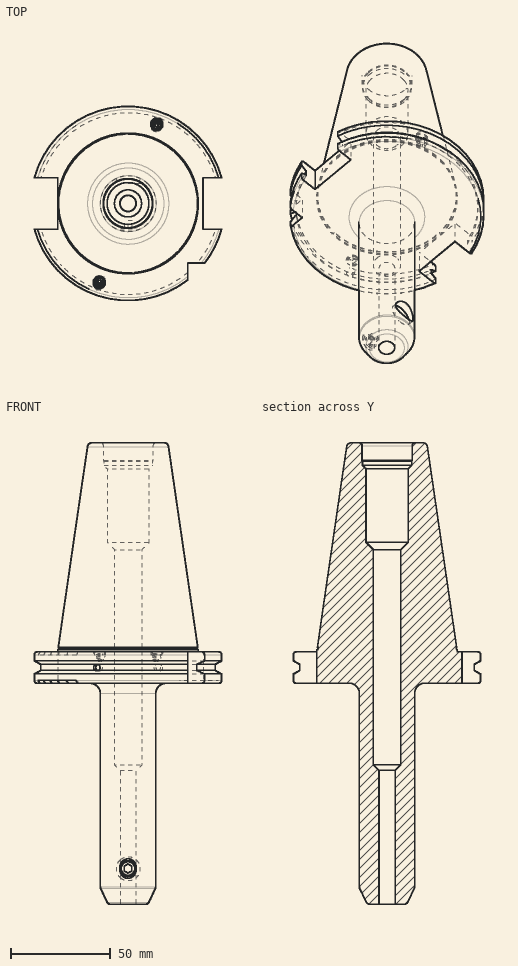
import cadquery as cq
import math


GAUGE_RADIUS = 69.85 / 2
TAPER_RATIO = 7 / 24
TAPER_LENGTH = 101.75
TAPER_OVERRUN = 0.9
TAPER_TOP_FILLET = 2.5
COLLAR_RADIUS = 35.3
RELIEF_GROOVE_DEPTH = 0.3
RELIEF_GROOVE_FLOOR = 0.5

FLANGE_RADIUS = 97.5 / 2
FLANGE_TOP_Z = -3.2
FLANGE_BOTTOM_Z = -19.1
FLANGE_EDGE_FILLET = 1.5
GROOVE_CENTER_Z = -11.1
GROOVE_DEPTH = 3.1
GROOVE_FLOOR_WIDTH = 3.0
GROOVE_HALF_ANGLE = 30.0

SLOT_WIDTH = 25.7
LEFT_SLOT_X = -35.3
RIGHT_SLOT_X = 37.7
NOTCH_X = 30.0
NOTCH_Y = -30.0

SHANK_RADIUS = 14.0
SHANK_ROOT_RADIUS = 5.0
SHANK_END_Z = -130.0
TIP_CONE_LENGTH = 8.5
TIP_CONE_ANGLE = 25.0
TIP_TOP_FILLET = 2.0
TIP_END_FILLET = 2.0

BORE_MOUTH_FILLET = 1.6
COUNTERBORE_RADIUS = 12.5
COUNTERBORE_DEPTH = 9.0
THREAD_ENTRY_RADIUS = 12.2
THREAD_ENTRY_DEPTH = 11.5
THREAD_BORE_RADIUS = 10.5
THREAD_BORE_DEPTH = 50.0
PASSAGE_RADIUS = 6.8
PASSAGE_END_Z = -60.0
TOOL_BORE_RADIUS = 4.0

CLAMP_Z = SHANK_END_Z + 18.0
CLAMP_OPENING_RADIUS = 4.9
CLAMP_THREAD_RADIUS = 4.0
CLAMP_FACE_RADIUS = 3.4
CLAMP_FACE_DEPTH = 1.5
CLAMP_SOCKET_WIDTH = 4.0
CLAMP_SOCKET_DEPTH = 4.0
RELIEF_RADIUS = 6.0
RELIEF_DEPTH = 4.0

COOLANT_CIRCLE_RADIUS = 42.0
COOLANT_ANGLES = (70.0, 250.0)
COOLANT_TILT = 25.0
COOLANT_OPENING_RADIUS = 3.1
COOLANT_THREAD_RADIUS = 2.7
COOLANT_FACE_RADIUS = 2.2
COOLANT_FACE_DEPTH = 1.8
COOLANT_SOCKET_WIDTH = 2.5
COOLANT_SOCKET_DEPTH = 3.0
GROOVE_HOLE_RADIUS = 1.7
GROOVE_HOLE_DEPTH = 3.0

CLEARANCE = 2.0


def taper_radius(z):
    return GAUGE_RADIUS - z * TAPER_RATIO / 2


def revolve_profile(profile):
    """Turn a closed profile drawn as (radius, Z) around the Z axis."""
    return profile.close().revolve(360, (0, 0, 0), (0, 1, 0))


def make_taper():
    taper_end_radius = taper_radius(-TAPER_OVERRUN)
    groove_radius = taper_end_radius - RELIEF_GROOVE_DEPTH
    groove_top_z = -TAPER_OVERRUN - RELIEF_GROOVE_DEPTH
    groove_bottom_z = groove_top_z - RELIEF_GROOVE_FLOOR
    collar_top_z = groove_bottom_z - (COLLAR_RADIUS - groove_radius)
    profile = (
        cq.Workplane("XZ")
        .moveTo(0, TAPER_LENGTH)
        .lineTo(taper_radius(TAPER_LENGTH), TAPER_LENGTH)
        .lineTo(taper_end_radius, -TAPER_OVERRUN)
        .lineTo(groove_radius, groove_top_z)
        .lineTo(groove_radius, groove_bottom_z)
        .lineTo(COLLAR_RADIUS, collar_top_z)
        .lineTo(COLLAR_RADIUS, FLANGE_TOP_Z)
        .lineTo(0, FLANGE_TOP_Z)
    )
    return revolve_profile(profile).faces(">Z").edges().fillet(TAPER_TOP_FILLET)


def make_flange():
    thickness = FLANGE_TOP_Z - FLANGE_BOTTOM_Z
    disc = (
        cq.Workplane("XY")
        .workplane(offset=FLANGE_BOTTOM_Z)
        .circle(FLANGE_RADIUS)
        .extrude(thickness)
        .edges()
        .fillet(FLANGE_EDGE_FILLET)
    )
    half_floor = GROOVE_FLOOR_WIDTH / 2
    half_mouth = half_floor + GROOVE_DEPTH * math.tan(math.radians(GROOVE_HALF_ANGLE))
    floor_radius = FLANGE_RADIUS - GROOVE_DEPTH
    outside = FLANGE_RADIUS + CLEARANCE
    groove = (
        cq.Workplane("XZ")
        .moveTo(outside, GROOVE_CENTER_Z + half_mouth)
        .lineTo(FLANGE_RADIUS, GROOVE_CENTER_Z + half_mouth)
        .lineTo(floor_radius, GROOVE_CENTER_Z + half_floor)
        .lineTo(floor_radius, GROOVE_CENTER_Z - half_floor)
        .lineTo(FLANGE_RADIUS, GROOVE_CENTER_Z - half_mouth)
        .lineTo(outside, GROOVE_CENTER_Z - half_mouth)
    )
    return disc.cut(revolve_profile(groove))


def rim_block(x_min, x_max, y_min, y_max):
    """A block through the whole flange thickness, for cutting the rim."""
    height = FLANGE_TOP_Z - FLANGE_BOTTOM_Z + 2 * CLEARANCE
    return (
        cq.Workplane("XY")
        .box(x_max - x_min, y_max - y_min, height, centered=False)
        .translate((x_min, y_min, FLANGE_BOTTOM_Z - CLEARANCE))
    )


def cut_rim(flange):
    outside = FLANGE_RADIUS + CLEARANCE
    half_slot = SLOT_WIDTH / 2
    left_slot = rim_block(-outside, LEFT_SLOT_X, -half_slot, half_slot)
    right_slot = rim_block(RIGHT_SLOT_X, outside, -half_slot, half_slot)
    notch = rim_block(NOTCH_X, outside, -outside, NOTCH_Y)
    return flange.cut(left_slot).cut(right_slot).cut(notch)


def make_shank():
    cone_top_z = SHANK_END_Z + TIP_CONE_LENGTH
    tip_radius = SHANK_RADIUS - TIP_CONE_LENGTH * math.tan(math.radians(TIP_CONE_ANGLE))
    root_z = FLANGE_BOTTOM_Z - SHANK_ROOT_RADIUS
    profile = (
        cq.Workplane("XZ")
        .moveTo(0, FLANGE_BOTTOM_Z)
        .lineTo(SHANK_RADIUS + SHANK_ROOT_RADIUS, FLANGE_BOTTOM_Z)
        .radiusArc((SHANK_RADIUS, root_z), -SHANK_ROOT_RADIUS)
        .lineTo(SHANK_RADIUS, cone_top_z)
        .lineTo(tip_radius, SHANK_END_Z)
        .lineTo(0, SHANK_END_Z)
    )
    shank = revolve_profile(profile)
    shank = shank.faces("<Z").edges().fillet(TIP_END_FILLET)
    cone_top_edge = cq.selectors.BoxSelector(
        (-SHANK_RADIUS, -SHANK_RADIUS, cone_top_z - CLEARANCE),
        (SHANK_RADIUS, SHANK_RADIUS, cone_top_z + CLEARANCE),
    )
    return shank.edges(cone_top_edge).edges("%CIRCLE").fillet(TIP_TOP_FILLET)


def make_bore():
    """Stepped bore through the part; each step ends in a 45 degree cone."""
    counterbore_z = TAPER_LENGTH - COUNTERBORE_DEPTH
    entry_end_z = TAPER_LENGTH - THREAD_ENTRY_DEPTH
    thread_end_z = TAPER_LENGTH - THREAD_BORE_DEPTH
    steps = (
        (COUNTERBORE_RADIUS, counterbore_z, THREAD_ENTRY_RADIUS),
        (THREAD_ENTRY_RADIUS, entry_end_z, THREAD_BORE_RADIUS),
        (THREAD_BORE_RADIUS, thread_end_z, PASSAGE_RADIUS),
        (PASSAGE_RADIUS, PASSAGE_END_Z, TOOL_BORE_RADIUS),
    )
    mouth_radius = COUNTERBORE_RADIUS + BORE_MOUTH_FILLET
    profile = (
        cq.Workplane("XZ")
        .moveTo(0, TAPER_LENGTH + CLEARANCE)
        .lineTo(mouth_radius, TAPER_LENGTH + CLEARANCE)
        .lineTo(mouth_radius, TAPER_LENGTH)
        .radiusArc((COUNTERBORE_RADIUS, TAPER_LENGTH - BORE_MOUTH_FILLET), -BORE_MOUTH_FILLET)
    )
    for radius, end_z, next_radius in steps:
        profile = profile.lineTo(radius, end_z)
        profile = profile.lineTo(next_radius, end_z - (radius - next_radius))
    profile = profile.lineTo(TOOL_BORE_RADIUS, SHANK_END_Z - CLEARANCE)
    profile = profile.lineTo(0, SHANK_END_Z - CLEARANCE)
    return revolve_profile(profile)


def set_screw_recess(
    opening_radius, thread_radius, face_radius, face_depth, socket_width, socket_depth
):
    """Cutter for a hole filled by a set screw, opening upwards at Z = 0.

    The hole has a chamfered mouth, and the screw end has a chamfered rim
    and a hexagon socket.
    """
    mouth_chamfer = opening_radius - thread_radius
    rim_chamfer = thread_radius - face_radius
    profile = (
        cq.Workplane("XZ")
        .moveTo(0, CLEARANCE)
        .lineTo(opening_radius, CLEARANCE)
        .lineTo(opening_radius, 0)
        .lineTo(thread_radius, -mouth_chamfer)
        .lineTo(thread_radius, -face_depth - rim_chamfer)
        .lineTo(face_radius, -face_depth)
        .lineTo(0, -face_depth)
    )
    socket = (
        cq.Workplane("XY")
        .polygon(6, socket_width, circumscribed=True)
        .extrude(-face_depth - socket_depth)
    )
    return revolve_profile(profile).union(socket)


def cut_clamp_holes(body):
    recess = set_screw_recess(
        CLAMP_OPENING_RADIUS,
        CLAMP_THREAD_RADIUS,
        CLAMP_FACE_RADIUS,
        CLAMP_FACE_DEPTH,
        CLAMP_SOCKET_WIDTH,
        CLAMP_SOCKET_DEPTH,
    )
    recess = recess.rotate((0, 0, 0), (1, 0, 0), 90).translate((0, -SHANK_RADIUS, CLAMP_Z))
    relief = (
        cq.Workplane("XZ", origin=(0, SHANK_RADIUS - RELIEF_DEPTH, CLAMP_Z))
        .circle(RELIEF_RADIUS)
        .extrude(-RELIEF_DEPTH - CLEARANCE)
    )
    return body.cut(recess).cut(relief)


def cut_coolant_holes(body):
    recess = set_screw_recess(
        COOLANT_OPENING_RADIUS,
        COOLANT_THREAD_RADIUS,
        COOLANT_FACE_RADIUS,
        COOLANT_FACE_DEPTH,
        COOLANT_SOCKET_WIDTH,
        COOLANT_SOCKET_DEPTH,
    )
    recess = recess.rotate((0, 0, 0), (0, 1, 0), COOLANT_TILT)
    recess = recess.translate((COOLANT_CIRCLE_RADIUS, 0, FLANGE_TOP_Z))
    floor_radius = FLANGE_RADIUS - GROOVE_DEPTH
    groove_hole = (
        cq.Workplane("YZ", origin=(floor_radius - GROOVE_HOLE_DEPTH, 0, GROOVE_CENTER_Z))
        .circle(GROOVE_HOLE_RADIUS)
        .extrude(GROOVE_HOLE_DEPTH + CLEARANCE)
    )
    for angle in COOLANT_ANGLES:
        for cutter in (recess, groove_hole):
            body = body.cut(cutter.rotate((0, 0, 0), (0, 0, 1), angle))
    return body


body = make_taper().union(cut_rim(make_flange())).union(make_shank())
body = body.cut(make_bore())
body = cut_clamp_holes(body)
result = cut_coolant_holes(body)